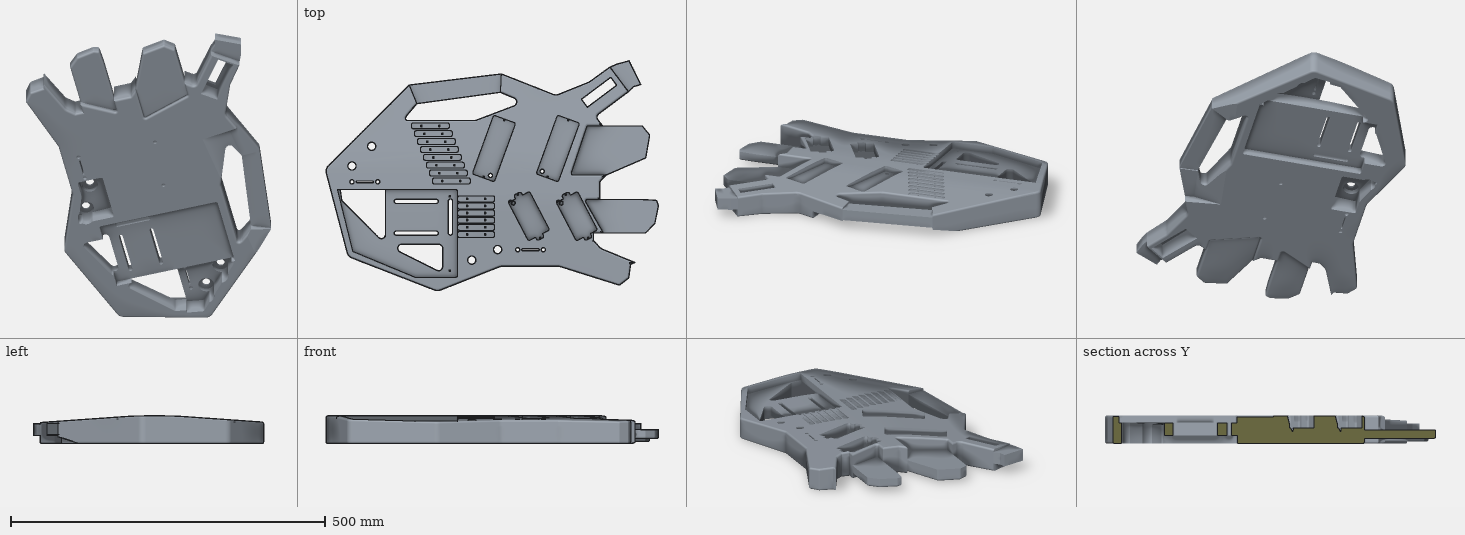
import cadquery as cq
import math

BODY_HEIGHT = 44.45
FLAT_HALF_WIDTH = 12.7
BEND_WIDTH = 35.0
SLOPE = 4.0
BEND_RADIUS = BEND_WIDTH / math.sin(math.radians(SLOPE))
BEND_END = FLAT_HALF_WIDTH + BEND_WIDTH

EDGE_ROUND = 3.175
CORNER_RADIUS = 12.7
SMALL_RADIUS = 3.175

REACH_X = (-50.0, 600.0)
REACH_Y = 250.0
CLEARANCE = 20.0

R = CORNER_RADIUS
S = SMALL_RADIUS
NOTCH_EDGE_Y = 10.1
UPPER_FINGER_Y = 88.6
LOWER_FINGER_TOP_Y = -28.4
LOWER_FINGER_BOTTOM_Y = -81.9

HANDLE_LEFT_OUTER = (132.1, 153.6)
HANDLE_LEFT_INNER = (144.3, 123.6)
HANDLE_RIGHT_INNER = (277.2, 141.7)
HANDLE_RIGHT_OUTER = (278.6, 171.2)
HEAD_END_TOP = (451.3, 182.0)
HEAD_END_BOTTOM = (480.7, 142.7)

BODY_OUTLINE = [
    (-1.6, 19.9, R),
    (35.0, -119.4, R),
    (177.2, -174.6, R),
    (277.5, -135.0, R),
    (371.0, -135.0, R),
    (466.4, -165.0, S),
    (481.3, -153.6, S),
    (484.4, -131.6, 0),
    (491.3, -128.9, 0),
    (436.7, -106.4, R),
    (425.3, -93.9, 0),
    (425.3, LOWER_FINGER_BOTTOM_Y, 0),
    (440.9, LOWER_FINGER_BOTTOM_Y, 0),
    (410.4, LOWER_FINGER_TOP_Y, S),
    (435.1, LOWER_FINGER_TOP_Y, 0),
    (435.1, -0.5, S),
    (445.2, NOTCH_EDGE_Y, 0),
    (388.7, NOTCH_EDGE_Y, S),
    (414.9, UPPER_FINGER_Y, S),
    (439.5, UPPER_FINGER_Y, 0),
    (428.2, 103.5, 2 * S),
    (*HEAD_END_BOTTOM, 0),
    (*HEAD_END_TOP, 0),
    (418.6, 158.4, R),
    (365.6, 136.9, R),
    (*HANDLE_RIGHT_OUTER, 0),
    (*HANDLE_RIGHT_INNER, 0),
    (305.9, 129.5, 2 * S),
    (300.6, 121.0, 2 * S),
    (237.4, 97.1, R),
    (124.2, 97.1, S),
    (128.1, 104.5, S),
    (*HANDLE_LEFT_INNER, 0),
    (*HANDLE_LEFT_OUTER, 0),
]

FINGER_TOP = 22.225
UPPER_FINGER = [
    (388.7, NOTCH_EDGE_Y, 0),
    (445.2, NOTCH_EDGE_Y, 0),
    (508.3, 37.4, S),
    (514.7, 73.8, S),
    (502.7, UPPER_FINGER_Y, S),
    (414.9, UPPER_FINGER_Y, 0),
]
UPPER_FINGER_BOTTOM = 3.175
LOWER_FINGER = [
    (410.4, LOWER_FINGER_TOP_Y, 0),
    (500.9, LOWER_FINGER_TOP_Y, 0),
    (525.5, -29.7, S),
    (528.6, -38.2, S),
    (522.9, -66.6, S),
    (508.0, LOWER_FINGER_BOTTOM_Y, S),
    (425.3, LOWER_FINGER_BOTTOM_Y, 0),
]
LOWER_FINGER_BOTTOM = 7.9375

HANDLE_BOTTOM = 14.2875
HANDLE_TOP = 31.75
HEAD_TAB = [
    (*HEAD_END_TOP, 0),
    (462.4, 186.8, 0),
    (481.8, 192.1, 0),
    (500.4, 154.1, 0),
    (488.9, 150.7, 0),
    (*HEAD_END_BOTTOM, 0),
]
HEAD_TAB_BOTTOM = 12.7
HEAD_TAB_TOP = 31.75

SCOOP_START = (61.0, 124.8)
SCOOP_END = (330.0, 90.9)
SCOOP_SLOPE = 16.4
SCOOP_DEPTH = 12.7
SCOOP_WIDTH = 80.0

CAVITY = [
    (18.0, -FLAT_HALF_WIDTH, 0),
    (209.1, -FLAT_HALF_WIDTH, S),
    (209.1, -152.3, S),
    (141.4, -152.3, 0),
    (42.4, -111.2, 0),
]
CAVITY_DEPTH = 11.1125
CAVITY_WINDOWS = [
    [(22.6, -FLAT_HALF_WIDTH, 0), (94.2, -FLAT_HALF_WIDTH, 0), (94.2, -99.8, 2 * S), (25.2, -30.2, 0)],
    [(93.4, -99.8, 2 * S), (185.2, -99.8, 2 * S), (185.2, -145.6, 2 * S)],
]
CAVITY_SLOT_WIDTH = 6.35
CAVITY_SLOTS = [
    (143.3, -31.6, 70.0, 0),
    (143.3, -82.0, 70.0, 0),
    (197.6, -56.5, 57.2, 90),
]
CAVITY_PINS = [(196.7, -23.6), (196.7, -141.7)]

GUIDE_DEPTH = 1.5875
GUIDE_PIN_SPACING = 28.6
UPPER_GUIDE_SIZE = (60.3, 9.5)
UPPER_GUIDE_FIRST = (165.8, 88.7)
UPPER_GUIDE_STEP = (4.77, -12.55)
UPPER_GUIDE_COUNT = 8
LOWER_GUIDE_SIZE = (59.0, 9.5)
LOWER_GUIDE_FIRST = (238.5, -27.6)
LOWER_GUIDE_STEP = (0.0, -11.35)
LOWER_GUIDE_COUNT = 6

PIN_DIAMETER = 2.54
PIN_DEPTH = 6.35

UPPER_POCKET_CENTERS = [(266.9, 52.5), (368.5, 52.5)]
UPPER_POCKET_SIZE = (37.4, 99.4)
UPPER_POCKET_ANGLE = -20.0
UPPER_POCKET_FLOOR = 34.925
UPPER_POCKET_PIN_OFFSET = 48.1
WIRE_HOLE_DIAMETER = 6.35
WIRE_HOLES = [(261.3, 9.6), (343.6, 16.2)]

LOWER_POCKET_CENTERS = [(322.6, -55.2), (398.8, -55.2)]
LOWER_POCKET_SIZE = (38.1, 69.0)
LOWER_POCKET_ANGLE = 27.5
LOWER_POCKET_FLOOR = 25.4
EAR_WIDTH = 12.7
EAR_REACH = 6.35
EAR_PIN_REACH = 4.5
BORE_TOP = (-29.5, 22.5)
BORE_FLOOR = (-25.5, 21.0)

CONTROL_HOLE_DIAMETER = 12.7
CONTROL_HOLES = [(72.4, 56.0), (41.1, 24.7), (231.6, -125.0), (272.7, -108.2)]
ANCHOR_HOLE_DIAMETER = 6.35
ANCHOR_SLOT_WIDTH = 2.54
ANCHOR_SLOT_LENGTH = 27.3
ANCHOR_SPACING = 41.0
ANCHOR_CENTERS = [(61.6, -0.5), (325.0, -108.5)]

HEAD_WINDOW_CENTER = (434.0, 141.9)
HEAD_WINDOW_SIZE = (58.0, 15.6)
HEAD_WINDOW_ANGLE = 36.8
HEAD_PLATE_THICKNESS = 6.35
HEAD_RECESS_MARGIN = 6.35

CONTROL_BORE_DIAMETER = 25.4
CONTROL_BORE_SKIN = 3.175
CONTROL_CHAMBERS = [
    [(18.0, -FLAT_HALF_WIDTH, 0), (94.2, -FLAT_HALF_WIDTH, 0), (94.2, 86.0, S), (14.0, 14.0, S)],
    [(222.0, -140.0, S), (272.0, -122.0, S), (299.0, -122.0, S), (299.0, -81.0, S), (222.0, -81.0, S)],
]
REAR_RECESS_DEPTH = 12.7
REAR_RECESS = [(94.2, -108.8, 0), (210.0, -108.8, S), (210.0, 85.0, S), (94.2, 85.0, 0)]


def crown_height(y):
    """Height of the crowned top at distance y from the centre line."""
    distance = abs(y)
    if distance <= FLAT_HALF_WIDTH:
        return BODY_HEIGHT
    if distance <= BEND_END:
        run = distance - FLAT_HALF_WIDTH
        return BODY_HEIGHT - BEND_RADIUS + math.sqrt(BEND_RADIUS ** 2 - run ** 2)
    slope = math.tan(math.radians(SLOPE))
    return crown_height(BEND_END) - slope * (distance - BEND_END)


def crown_tilt(y):
    """Rotation about X, in degrees, that lays a level plane tangent to the crown at y."""
    run = min(max(abs(y) - FLAT_HALF_WIDTH, 0.0), BEND_WIDTH)
    return -math.copysign(math.degrees(math.asin(run / BEND_RADIUS)), y)


def crown_solid(drop=0.0):
    """Long slab below the crowned top, lowered by drop."""
    bend_middle = FLAT_HALF_WIDTH + BEND_WIDTH / 2

    def at(y):
        return (y, crown_height(y) - drop)

    return (
        cq.Workplane("YZ", origin=(REACH_X[0], 0, 0))
        .moveTo(-REACH_Y, 0)
        .lineTo(*at(-REACH_Y))
        .lineTo(*at(-BEND_END))
        .threePointArc(at(-bend_middle), at(-FLAT_HALF_WIDTH))
        .lineTo(*at(FLAT_HALF_WIDTH))
        .threePointArc(at(bend_middle), at(BEND_END))
        .lineTo(*at(REACH_Y))
        .lineTo(REACH_Y, 0)
        .close()
        .extrude(REACH_X[1] - REACH_X[0])
    )


def rounded_prism(corners, bottom, top):
    """Upright prism over a polygon whose corners carry their own radii."""
    points = [cq.Vector(x, y) for x, y, _ in corners]
    path = None
    for index, (_, _, radius) in enumerate(corners):
        here = points[index]
        back = (points[index - 1] - here).normalized()
        ahead = (points[(index + 1) % len(points)] - here).normalized()
        half_angle = back.getAngle(ahead) / 2
        setback = radius / math.tan(half_angle)
        start = here + back * setback
        end = here + ahead * setback
        if path is None:
            path = cq.Workplane("XY", origin=(0, 0, bottom)).moveTo(start.x, start.y)
        else:
            path = path.lineTo(start.x, start.y)
        if radius > 0:
            bisector = (back + ahead).normalized()
            middle = here + bisector * (radius / math.sin(half_angle) - radius)
            path = path.threePointArc((middle.x, middle.y), (end.x, end.y))
    return path.close().extrude(top - bottom)


def place(tool, center, angle):
    """Turn a tool about Z and move it to a plan position."""
    return tool.rotate((0, 0, 0), (0, 0, 1), angle).translate((*center, 0))


def drill(part, centers, diameter, bottom=0.0):
    """Vertical holes from above the body down to the bottom height."""
    depth = BODY_HEIGHT + CLEARANCE - bottom
    tool = cq.Workplane("XY", origin=(0, 0, bottom)).pushPoints(centers).circle(diameter / 2)
    return part.cut(tool.extrude(depth))


def on_segment(point, start, end):
    """True where a plan point lies on the segment between two others."""
    tolerance = 0.01
    span = math.dist(start, end)
    return math.dist(point, start) + math.dist(point, end) < span + tolerance


SHARP_RIM = [
    (HEAD_END_TOP, HEAD_END_BOTTOM),
    (HANDLE_RIGHT_OUTER, HANDLE_RIGHT_INNER),
    (HANDLE_LEFT_OUTER, HANDLE_LEFT_INNER),
    ((445.2, NOTCH_EDGE_Y), (388.7, NOTCH_EDGE_Y)),
]


def rim_edges(body):
    """Top and bottom rim edges, apart from those that stay sharp."""
    rims = []
    for wall in body.faces().vals():
        if abs(wall.normalAt().z) > 1e-6:
            continue
        for edge in wall.Edges():
            middle = edge.positionAt(0.5)
            plan = (middle.x, middle.y)
            vertical = abs(edge.tangentAt(0.5).z) > 0.5
            sharp = any(on_segment(plan, *segment) for segment in SHARP_RIM)
            if not vertical and not sharp:
                rims.append(edge)
    return rims


def cut_scoop(body):
    """Slope the underside up to a level ceiling beneath the handle."""
    run = math.dist(SCOOP_START, SCOOP_END)
    along = math.atan2(SCOOP_END[1] - SCOOP_START[1], SCOOP_END[0] - SCOOP_START[0])
    slope_run = SCOOP_DEPTH / math.tan(math.radians(SCOOP_SLOPE))
    wedge = (
        cq.Workplane("YZ")
        .polyline([(0, 0), (SCOOP_WIDTH, 0), (SCOOP_WIDTH, SCOOP_DEPTH), (slope_run, SCOOP_DEPTH)])
        .close()
        .extrude(run)
    )
    return body.cut(place(wedge, SCOOP_START, math.degrees(along)))


def make_body():
    body = rounded_prism(BODY_OUTLINE, 0, BODY_HEIGHT + CLEARANCE).intersect(crown_solid())
    body = body.newObject(rim_edges(body)).fillet(EDGE_ROUND)
    return cut_scoop(body)


def add_handle(body):
    corners = [HANDLE_LEFT_OUTER, HANDLE_RIGHT_OUTER, HANDLE_RIGHT_INNER, HANDLE_LEFT_INNER]
    return body.union(rounded_prism([(x, y, 0) for x, y in corners], HANDLE_BOTTOM, HANDLE_TOP))


def add_fingers(body):
    for outline, bottom in ((UPPER_FINGER, UPPER_FINGER_BOTTOM), (LOWER_FINGER, LOWER_FINGER_BOTTOM)):
        finger = rounded_prism(outline, bottom, FINGER_TOP).faces("<Z").edges().fillet(EDGE_ROUND)
        body = body.union(finger)
    return body


def add_head_tab(body):
    return body.union(rounded_prism(HEAD_TAB, HEAD_TAB_BOTTOM, HEAD_TAB_TOP))


def cut_cavity(body):
    """Main cavity whose floor follows the crown, with its windows, slots and pin holes."""
    top = BODY_HEIGHT + CLEARANCE
    body = body.cut(rounded_prism(CAVITY, 0, top).cut(crown_solid(CAVITY_DEPTH)))
    for outline in CAVITY_WINDOWS:
        body = body.cut(rounded_prism(outline, 0, top))
    for x, y, length, angle in CAVITY_SLOTS:
        slot = cq.Workplane("XY").slot2D(length, CAVITY_SLOT_WIDTH).extrude(top)
        body = body.cut(place(slot, (x, y), angle))
    for x, y in CAVITY_PINS:
        floor = crown_height(y) - CAVITY_DEPTH
        body = drill(body, [(x, y)], PIN_DIAMETER, floor - PIN_DEPTH)
    return body


def cut_guides(body, first, step, count, size):
    """Row of shallow pads, each tangent to the crown and carrying two pin holes."""
    pad = (
        cq.Workplane("XY", origin=(0, 0, -GUIDE_DEPTH))
        .rect(*size)
        .extrude(GUIDE_DEPTH + EDGE_ROUND)
        .edges("|Z")
        .fillet(SMALL_RADIUS)
    )
    pins = (
        cq.Workplane("XY", origin=(0, 0, -GUIDE_DEPTH - PIN_DEPTH))
        .pushPoints([(-GUIDE_PIN_SPACING / 2, 0), (GUIDE_PIN_SPACING / 2, 0)])
        .circle(PIN_DIAMETER / 2)
        .extrude(PIN_DEPTH + GUIDE_DEPTH)
    )
    tool = pad.union(pins)
    for index in range(count):
        x = first[0] + index * step[0]
        y = first[1] + index * step[1]
        tilted = tool.rotate((0, 0, 0), (1, 0, 0), crown_tilt(y))
        body = body.cut(tilted.translate((x, y, crown_height(y))))
    return body


def pocket_tool(size, floor):
    """Rounded rectangular pocket with a level floor, centred on the origin."""
    return (
        cq.Workplane("XY", origin=(0, 0, floor))
        .rect(*size)
        .extrude(BODY_HEIGHT + CLEARANCE - floor)
        .edges("|Z")
        .fillet(SMALL_RADIUS)
    )


def end_pins(offset, floor):
    """Pin holes on the long axis at both ends of a pocket."""
    return (
        cq.Workplane("XY", origin=(0, 0, floor - PIN_DEPTH))
        .pushPoints([(0, -offset), (0, offset)])
        .circle(PIN_DIAMETER / 2)
        .extrude(PIN_DEPTH + 1)
    )


def cut_upper_pockets(body):
    tool = pocket_tool(UPPER_POCKET_SIZE, UPPER_POCKET_FLOOR)
    tool = tool.union(end_pins(UPPER_POCKET_PIN_OFFSET, UPPER_POCKET_FLOOR))
    for center in UPPER_POCKET_CENTERS:
        body = body.cut(place(tool, center, UPPER_POCKET_ANGLE))
    return drill(body, WIRE_HOLES, WIRE_HOLE_DIAMETER)


def slanted_bore():
    """Wiring bore leaning inwards from the pocket corner to below its floor."""
    start = cq.Vector(*BORE_TOP, BODY_HEIGHT)
    lean = cq.Vector(*BORE_FLOOR, LOWER_POCKET_FLOOR) - start
    bore = cq.Solid.makeCylinder(WIRE_HOLE_DIAMETER / 2, lean.Length + PIN_DEPTH, start, lean)
    return cq.Workplane(obj=bore)


def cut_lower_pockets(body):
    """Deep pockets with an ear and pin hole at each end and a slanted wiring bore."""
    half_length = LOWER_POCKET_SIZE[1] / 2
    tool = pocket_tool(LOWER_POCKET_SIZE, LOWER_POCKET_FLOOR)
    tool = tool.union(pocket_tool((EAR_WIDTH, 2 * (half_length + EAR_REACH)), LOWER_POCKET_FLOOR))
    tool = tool.union(end_pins(half_length + EAR_PIN_REACH, LOWER_POCKET_FLOOR))
    for center in LOWER_POCKET_CENTERS:
        body = body.cut(place(tool, center, LOWER_POCKET_ANGLE))
        body = body.cut(slanted_bore().translate((*center, 0)))
    return body


def cut_anchors(body):
    """Pairs of through holes with a thin through slot between them."""
    for x, y in ANCHOR_CENTERS:
        ends = [(x - ANCHOR_SPACING / 2, y), (x + ANCHOR_SPACING / 2, y)]
        body = drill(body, ends, ANCHOR_HOLE_DIAMETER)
        slot = cq.Workplane("XY").center(x, y).slot2D(ANCHOR_SLOT_LENGTH, ANCHOR_SLOT_WIDTH)
        body = body.cut(slot.extrude(BODY_HEIGHT))
    return body


def cut_head_window(body):
    window = cq.Workplane("XY").rect(*HEAD_WINDOW_SIZE).extrude(BODY_HEIGHT)
    return body.cut(place(window, HEAD_WINDOW_CENTER, HEAD_WINDOW_ANGLE))


def cut_rear_hollows(body):
    """Chambers and recess below the controls, control counterbores and the head recess."""
    ceiling = crown_solid(CAVITY_DEPTH)
    for outline in CONTROL_CHAMBERS:
        body = body.cut(rounded_prism(outline, 0, BODY_HEIGHT).intersect(ceiling))
    body = body.cut(rounded_prism(REAR_RECESS, 0, REAR_RECESS_DEPTH))
    bores = cq.Workplane("XY").pushPoints(CONTROL_HOLES).circle(CONTROL_BORE_DIAMETER / 2)
    body = body.cut(bores.extrude(BODY_HEIGHT).intersect(crown_solid(CONTROL_BORE_SKIN)))
    head_size = [length + 2 * HEAD_RECESS_MARGIN for length in HEAD_WINDOW_SIZE]
    head_recess = cq.Workplane("XY").rect(*head_size).extrude(BODY_HEIGHT)
    head_recess = place(head_recess, HEAD_WINDOW_CENTER, HEAD_WINDOW_ANGLE)
    return body.cut(head_recess.intersect(crown_solid(HEAD_PLATE_THICKNESS)))


result = make_body()
result = cut_rear_hollows(result)
result = cut_cavity(result)
result = cut_guides(result, UPPER_GUIDE_FIRST, UPPER_GUIDE_STEP, UPPER_GUIDE_COUNT, UPPER_GUIDE_SIZE)
result = cut_guides(result, LOWER_GUIDE_FIRST, LOWER_GUIDE_STEP, LOWER_GUIDE_COUNT, LOWER_GUIDE_SIZE)
result = cut_upper_pockets(result)
result = cut_lower_pockets(result)
result = drill(result, CONTROL_HOLES, CONTROL_HOLE_DIAMETER)
result = cut_anchors(result)
result = cut_head_window(result)
result = add_handle(result)
result = add_fingers(result)
result = add_head_tab(result)